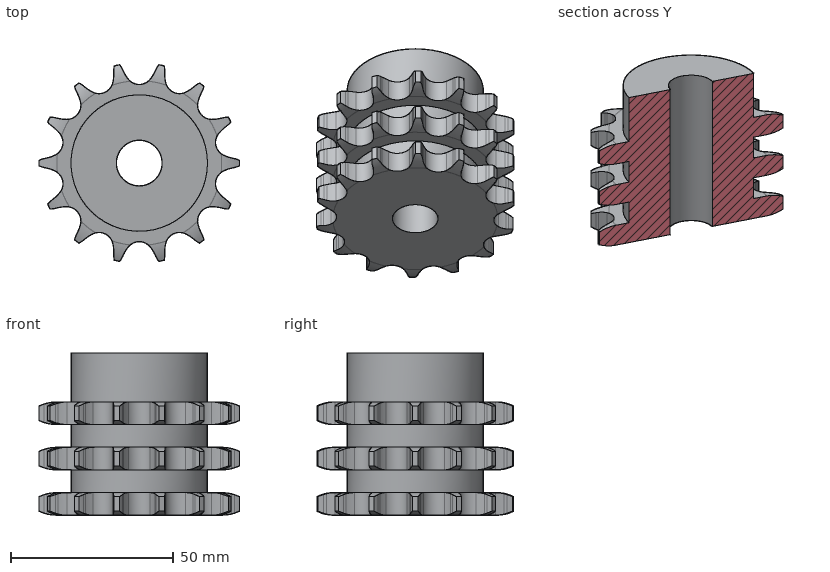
import cadquery as cq
import math


PITCH = 12.7
ROLLER_DIAMETER = 8.51
TOOTH_COUNT = 14
TIP_DIAMETER = 61.8
RIM_WIDTH = 7.0
RIM_COUNT = 3
RIM_SPACING = 13.95

SIDE_RADIUS = PITCH
SIDE_RELIEF = 0.1 * PITCH

HUB_DIAMETER = 42.0
BORE_DIAMETER = 14.0
TOTAL_HEIGHT = 50.0

INCH = 25.4
HALF_TOOTH_ANGLE = math.pi / TOOTH_COUNT
PITCH_RADIUS = PITCH / 2 / math.sin(HALF_TOOTH_ANGLE)
TIP_RADIUS = TIP_DIAMETER / 2
SEATING_RADIUS = (1.005 * ROLLER_DIAMETER + 0.003 * INCH) / 2
SEATING_ANGLE = math.radians(35 + 60 / TOOTH_COUNT)
WORKING_RADIUS = 1.3025 * ROLLER_DIAMETER + 0.0015 * INCH
WORKING_ANGLE = math.radians(18 - 56 / TOOTH_COUNT)
WORKING_CENTER_OFFSET = 0.8 * ROLLER_DIAMETER
TOPPING_CENTER_OFFSET = 1.4 * ROLLER_DIAMETER
TOPPING_ANGLE = math.radians(17 - 64 / TOOTH_COUNT)

GAP_OVERSHOOT = 1.0


def polar(center, radius, angle):
    """Point at the given radius and angle from a center."""
    return (center[0] + radius * math.cos(angle), center[1] + radius * math.sin(angle))


def mirrored(point):
    """Point reflected across the gap's center line, the Y axis."""
    return (-point[0], point[1])


def gap_outline():
    """Closed outline of one tooth gap, centered on the +Y axis."""
    roller_center = (0, PITCH_RADIUS)
    root = (0, PITCH_RADIUS - SEATING_RADIUS)

    working_center = polar(roller_center, WORKING_CENTER_OFFSET, math.pi - SEATING_ANGLE)
    flat_angle = WORKING_ANGLE - SEATING_ANGLE
    seating_end = polar(roller_center, SEATING_RADIUS, -SEATING_ANGLE)
    working_middle = polar(working_center, WORKING_RADIUS, flat_angle - WORKING_ANGLE / 2)
    working_end = polar(working_center, WORKING_RADIUS, flat_angle)

    topping_center = polar(roller_center, TOPPING_CENTER_OFFSET, -HALF_TOOTH_ANGLE)
    topping_height = TOPPING_CENTER_OFFSET * math.sin(TOPPING_ANGLE)
    working_height = WORKING_CENTER_OFFSET * math.sin(WORKING_ANGLE)
    flat_length = topping_height - working_height
    flat_end = polar(working_end, flat_length, flat_angle + math.pi / 2)
    topping_radius = math.dist(topping_center, flat_end)
    topping_start_angle = math.pi + flat_angle
    outer_y = TIP_RADIUS + GAP_OVERSHOOT
    topping_end_angle = math.pi - math.asin((outer_y - topping_center[1]) / topping_radius)
    topping_middle_angle = (topping_start_angle + topping_end_angle) / 2
    topping_middle = polar(topping_center, topping_radius, topping_middle_angle)
    topping_end = polar(topping_center, topping_radius, topping_end_angle)

    return (
        cq.Workplane("XY")
        .moveTo(*mirrored(topping_end))
        .threePointArc(mirrored(topping_middle), mirrored(flat_end))
        .lineTo(*mirrored(working_end))
        .threePointArc(mirrored(working_middle), mirrored(seating_end))
        .threePointArc(root, seating_end)
        .threePointArc(working_middle, working_end)
        .lineTo(*flat_end)
        .threePointArc(topping_middle, topping_end)
        .close()
    )


def rim_blank():
    """Disc whose two faces curve toward each other at the tooth tips."""
    side_run = math.sqrt(SIDE_RADIUS**2 - (SIDE_RADIUS - SIDE_RELIEF) ** 2)
    face_radius = TIP_RADIUS - side_run
    middle_angle = math.asin(side_run / SIDE_RADIUS) / 2
    middle_radius = face_radius + SIDE_RADIUS * math.sin(middle_angle)
    middle_drop = SIDE_RADIUS * (1 - math.cos(middle_angle))
    return (
        cq.Workplane("XZ")
        .lineTo(face_radius, 0)
        .threePointArc((middle_radius, middle_drop), (TIP_RADIUS, SIDE_RELIEF))
        .lineTo(TIP_RADIUS, RIM_WIDTH - SIDE_RELIEF)
        .threePointArc((middle_radius, RIM_WIDTH - middle_drop), (face_radius, RIM_WIDTH))
        .lineTo(0, RIM_WIDTH)
        .close()
        .revolve(360, (0, 0, 0), (0, 1, 0))
    )


def toothed_rim():
    """One row of teeth, with a tooth centered on the +X axis."""
    tooth_pitch_angle = 360 / TOOTH_COUNT
    first_gap_angle = tooth_pitch_angle / 2 - 90
    gap = gap_outline().extrude(RIM_WIDTH)
    rim = rim_blank()
    for index in range(TOOTH_COUNT):
        angle = first_gap_angle + index * tooth_pitch_angle
        rim = rim.cut(gap.rotate((0, 0, 0), (0, 0, 1), angle))
    return rim


def sprocket():
    """Hub carrying the rows of teeth, bored through."""
    body = cq.Workplane("XY").circle(HUB_DIAMETER / 2).extrude(TOTAL_HEIGHT)
    rim = toothed_rim()
    for index in range(RIM_COUNT):
        body = body.union(rim.translate((0, 0, index * RIM_SPACING)))
    bore = cq.Workplane("XY").circle(BORE_DIAMETER / 2).extrude(TOTAL_HEIGHT)
    return body.cut(bore)


result = sprocket()